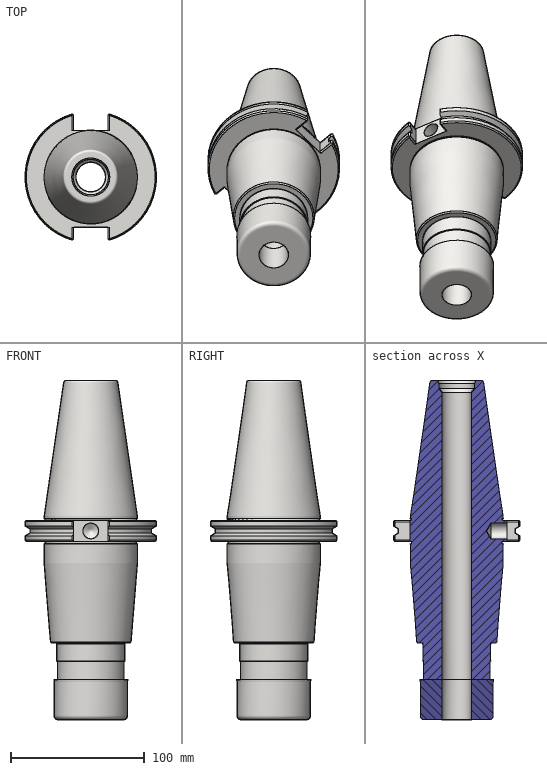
import cadquery as cq
import math


SHANK_TOP = 101.6
NUT_BOTTOM = -152.4

GAUGE_RADIUS = 69.85 / 2
TAPER_PER_LENGTH = 7 / 24
TOP_RADIUS = GAUGE_RADIUS - SHANK_TOP * TAPER_PER_LENGTH / 2
TOP_EDGE_ROUND = 2.0
BASE_LAND_BOTTOM = -1.8
RELIEF_RADIUS = GAUGE_RADIUS - 0.7
RELIEF_FILLET = 0.9

FLANGE_RADIUS = 98.44 / 2
FLANGE_TOP = -3.175
FLANGE_BOTTOM = -19.05
FLANGE_THICKNESS = FLANGE_TOP - FLANGE_BOTTOM
FLANGE_CHAMFER = 1.0
GROOVE_MIDDLE = -11.11
GROOVE_RADIUS = 45.7
GROOVE_FLOOR_HALF_WIDTH = 1.6
GROOVE_FLANK_ANGLE = math.radians(30)
GROOVE_FLANK_RISE = (FLANGE_RADIUS - GROOVE_RADIUS) * math.tan(GROOVE_FLANK_ANGLE)
GROOVE_MOUTH_HALF_WIDTH = GROOVE_FLOOR_HALF_WIDTH + GROOVE_FLANK_RISE

SLOT_WIDTH = 25.7
SLOT_CHAMFER = 1.1
SLOT_HALF_WIDTH = SLOT_WIDTH / 2
SLOT_RIM_HALF_WIDTH = SLOT_HALF_WIDTH + SLOT_CHAMFER
FRONT_SLOT_FLOOR = 37.7
BACK_SLOT_FLOOR = 35.0
DRIVE_HOLE_RADIUS = 11.7 / 2
DRIVE_HOLE_DEPTH = 12.0
DRILL_TIP_ANGLE = math.radians(118)

BODY_RADIUS = 35.0
BODY_TOP = -20.3
BODY_TOP_CHAMFER = 0.6
BODY_TAPER_TOP = -35.2
BODY_END_RADIUS = 30.25
BODY_BOTTOM = -95.0
BODY_END_CHAMFER = 1.0

COLLAR_RADIUS = 51 / 2
COLLAR_BOTTOM = -108.9
NECK_RADIUS = 50 / 2
COLLAR_CHAMFER = COLLAR_RADIUS - NECK_RADIUS

NUT_TOP = -122.3
NUT_RADIUS = 55 / 2
NUT_LIP_RADIUS = 55.4 / 2
NUT_LIP_BOTTOM = NUT_TOP - 0.8
NUT_LIP_TAPER_BOTTOM = NUT_TOP - 1.6
NUT_EDGE_ROUND = 3.0

BORE_RADIUS = 21.96 / 2
COUNTERBORE_RADIUS = 26.4 / 2
COUNTERBORE_DEPTH = 6.2
BORE_STEP_HEIGHT = 2.8
MOUTH_RADIUS = 28.5 / 2
MOUTH_CHAMFER = 2.3


def revolve(profile):
    """Close an outline that starts and ends on its vertical axis, and turn it around that axis."""
    return profile.close().revolve(360, (0, 0, 0), (0, 1, 0))


def make_shank():
    """Turned outside of the holder, from the small end of the taper down to the nut."""
    outline = (
        cq.Workplane("XZ")
        .moveTo(0, SHANK_TOP)
        .lineTo(TOP_RADIUS, SHANK_TOP)
        .lineTo(GAUGE_RADIUS, 0)
        .lineTo(GAUGE_RADIUS, BASE_LAND_BOTTOM)
        .lineTo(RELIEF_RADIUS, BASE_LAND_BOTTOM)
        .lineTo(RELIEF_RADIUS, FLANGE_TOP + RELIEF_FILLET)
        .radiusArc((RELIEF_RADIUS + RELIEF_FILLET, FLANGE_TOP), -RELIEF_FILLET)
        .lineTo(RELIEF_RADIUS, FLANGE_TOP)
        .lineTo(RELIEF_RADIUS, BODY_TOP)
        .lineTo(BODY_RADIUS - BODY_TOP_CHAMFER, BODY_TOP)
        .lineTo(BODY_RADIUS, BODY_TOP - BODY_TOP_CHAMFER)
        .lineTo(BODY_RADIUS, BODY_TAPER_TOP)
        .lineTo(BODY_END_RADIUS, BODY_BOTTOM + BODY_END_CHAMFER)
        .lineTo(BODY_END_RADIUS - BODY_END_CHAMFER, BODY_BOTTOM)
        .lineTo(COLLAR_RADIUS - COLLAR_CHAMFER, BODY_BOTTOM)
        .lineTo(COLLAR_RADIUS, BODY_BOTTOM - COLLAR_CHAMFER)
        .lineTo(COLLAR_RADIUS, COLLAR_BOTTOM + COLLAR_CHAMFER)
        .lineTo(NECK_RADIUS, COLLAR_BOTTOM)
        .lineTo(NECK_RADIUS, NUT_TOP)
        .lineTo(0, NUT_TOP)
    )
    return revolve(outline).faces(">Z").edges().fillet(TOP_EDGE_ROUND)


def make_slot(floor, side):
    """Cutter for one drive slot on the +Y (side 1) or -Y (side -1) edge, with all its rims beveled."""
    depth = FLANGE_RADIUS - floor
    lower_rim = FLANGE_BOTTOM + SLOT_CHAMFER
    upper_rim = FLANGE_TOP - SLOT_CHAMFER
    channel = (
        cq.Workplane("XZ", origin=(0, side * floor, 0))
        .moveTo(-SLOT_RIM_HALF_WIDTH, FLANGE_TOP)
        .lineTo(SLOT_RIM_HALF_WIDTH, FLANGE_TOP)
        .lineTo(SLOT_HALF_WIDTH, upper_rim)
        .lineTo(SLOT_HALF_WIDTH, lower_rim)
        .lineTo(SLOT_RIM_HALF_WIDTH, FLANGE_BOTTOM)
        .lineTo(-SLOT_RIM_HALF_WIDTH, FLANGE_BOTTOM)
        .lineTo(-SLOT_HALF_WIDTH, lower_rim)
        .lineTo(-SLOT_HALF_WIDTH, upper_rim)
        .close()
        .extrude(-side * depth)
    )
    corner = math.sqrt(FLANGE_RADIUS**2 - SLOT_RIM_HALF_WIDTH**2)
    mouth = (
        cq.Workplane("XY", origin=(0, 0, FLANGE_BOTTOM))
        .moveTo(-SLOT_HALF_WIDTH, side * (corner - SLOT_CHAMFER))
        .lineTo(-SLOT_RIM_HALF_WIDTH, side * corner)
        .lineTo(-SLOT_RIM_HALF_WIDTH, side * FLANGE_RADIUS)
        .lineTo(SLOT_RIM_HALF_WIDTH, side * FLANGE_RADIUS)
        .lineTo(SLOT_RIM_HALF_WIDTH, side * corner)
        .lineTo(SLOT_HALF_WIDTH, side * (corner - SLOT_CHAMFER))
        .close()
        .extrude(FLANGE_THICKNESS)
    )
    return channel.union(mouth)


def make_flange():
    """Flange with its V groove and two drive slots."""
    outline = (
        cq.Workplane("XZ")
        .moveTo(0, FLANGE_TOP)
        .lineTo(FLANGE_RADIUS - FLANGE_CHAMFER, FLANGE_TOP)
        .lineTo(FLANGE_RADIUS, FLANGE_TOP - FLANGE_CHAMFER)
        .lineTo(FLANGE_RADIUS, GROOVE_MIDDLE + GROOVE_MOUTH_HALF_WIDTH)
        .lineTo(GROOVE_RADIUS, GROOVE_MIDDLE + GROOVE_FLOOR_HALF_WIDTH)
        .lineTo(GROOVE_RADIUS, GROOVE_MIDDLE - GROOVE_FLOOR_HALF_WIDTH)
        .lineTo(FLANGE_RADIUS, GROOVE_MIDDLE - GROOVE_MOUTH_HALF_WIDTH)
        .lineTo(FLANGE_RADIUS, FLANGE_BOTTOM + FLANGE_CHAMFER)
        .lineTo(FLANGE_RADIUS - FLANGE_CHAMFER, FLANGE_BOTTOM)
        .lineTo(0, FLANGE_BOTTOM)
    )
    front_slot = make_slot(FRONT_SLOT_FLOOR, -1)
    back_slot = make_slot(BACK_SLOT_FLOOR, 1)
    return revolve(outline).cut(front_slot).cut(back_slot)


def make_drive_hole():
    """Cutter for the blind drilled hole in the floor of the front slot."""
    tip = DRIVE_HOLE_RADIUS / math.tan(DRILL_TIP_ANGLE / 2)
    outline = (
        cq.Workplane("XY")
        .moveTo(0, -FRONT_SLOT_FLOOR)
        .lineTo(DRIVE_HOLE_RADIUS, -FRONT_SLOT_FLOOR)
        .lineTo(DRIVE_HOLE_RADIUS, -FRONT_SLOT_FLOOR + DRIVE_HOLE_DEPTH)
        .lineTo(0, -FRONT_SLOT_FLOOR + DRIVE_HOLE_DEPTH + tip)
    )
    return revolve(outline).translate((0, 0, GROOVE_MIDDLE))


def make_bore():
    """Cutter for the stepped bore through the holder and the nut."""
    step_top = SHANK_TOP - COUNTERBORE_DEPTH
    outline = (
        cq.Workplane("XZ")
        .moveTo(0, SHANK_TOP)
        .lineTo(MOUTH_RADIUS, SHANK_TOP)
        .lineTo(COUNTERBORE_RADIUS, SHANK_TOP - MOUTH_CHAMFER)
        .lineTo(COUNTERBORE_RADIUS, step_top)
        .lineTo(BORE_RADIUS, step_top - BORE_STEP_HEIGHT)
        .lineTo(BORE_RADIUS, NUT_BOTTOM)
        .lineTo(0, NUT_BOTTOM)
    )
    return revolve(outline)


def make_holder():
    """Holder: turned shank and flange in one solid, with the drilled hole and the bore cut in."""
    return make_shank().union(make_flange()).cut(make_drive_hole()).cut(make_bore())


def make_nut():
    """Collet nut seated against the end of the neck, with a small lip and a rounded lower edge."""
    outline = (
        cq.Workplane("XZ")
        .moveTo(0, NUT_TOP)
        .lineTo(NUT_LIP_RADIUS, NUT_TOP)
        .lineTo(NUT_LIP_RADIUS, NUT_LIP_BOTTOM)
        .lineTo(NUT_RADIUS, NUT_LIP_TAPER_BOTTOM)
        .lineTo(NUT_RADIUS, NUT_BOTTOM)
        .lineTo(0, NUT_BOTTOM)
    )
    return revolve(outline).faces("<Z").edges().fillet(NUT_EDGE_ROUND).cut(make_bore())


holder = make_holder()
nut = make_nut()
result = cq.Compound.makeCompound([holder.val(), nut.val()])